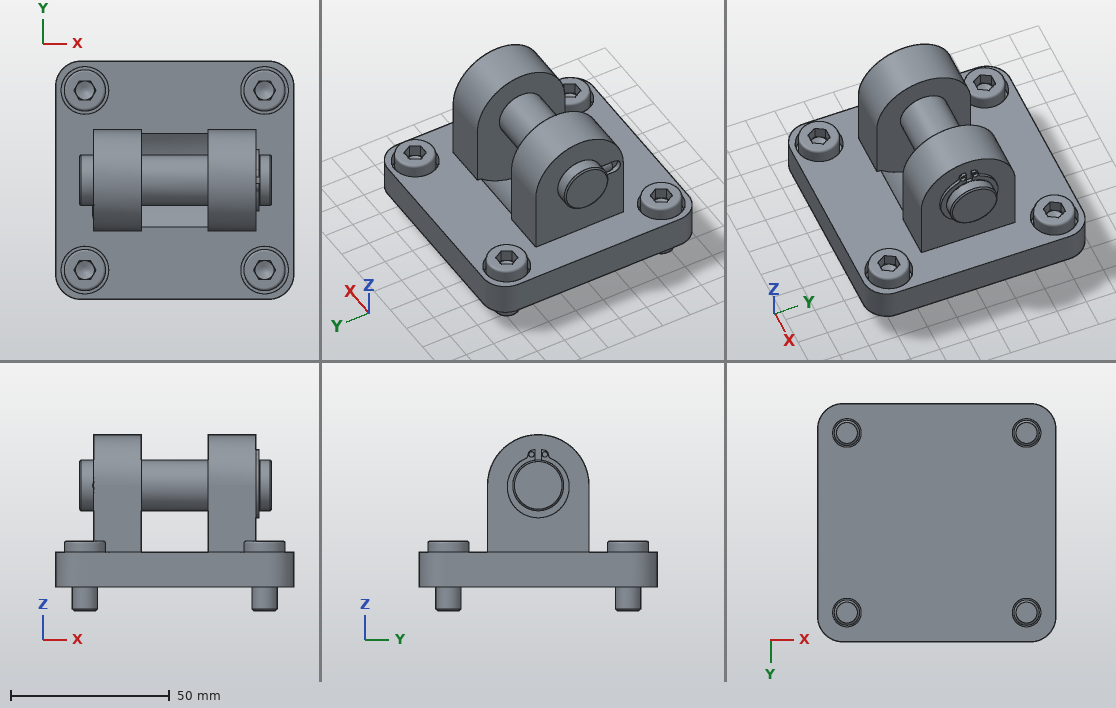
import cadquery as cq
import math

axis_z = 39.5

plate_size = 75.0
plate_bottom_z = 7.5
plate_thickness = 11.0
plate_top_z = plate_bottom_z + plate_thickness
plate_corner_radius = 8.0

lug_gap = 21.0
lug_thickness = 15.0
lug_radius = 16.0
lug_inner_x = lug_gap / 2
lug_outer_x = lug_inner_x + lug_thickness

relief_radius = 45.0 / 2
relief_half_width = 14.7
relief_axis_z = plate_top_z + math.sqrt(relief_radius**2 - relief_half_width**2)

pin_radius = 8.0
pin_left_x = -30.0
pin_right_x = 30.5
pin_chamfer = 0.5

groove_radius = 15.2 / 2
groove_width = 1.3
ring_thickness = 1.0
ring_radius = 9.75
ring_drop = 0.45
ring_ear_height = 3.7
ring_ear_tip = groove_radius + ring_ear_height
ring_ear_half_width = 3.2
ring_ear_fillet = 1.4
ring_ear_corner = 1.6
ring_gap = 2.0
ring_hole_diameter = 1.7
ring_hole_y = (ring_gap / 2 + ring_ear_half_width) / 2
ring_hole_inset = 1.55
ring_hole_z = ring_ear_tip - ring_hole_inset

dowel_radius = 2.0
dowel_protrusion = 0.3
dowel_axis_x = -lug_outer_x - dowel_protrusion + dowel_radius
dowel_end_y = -12.05
dowel_lead_length = 0.8
dowel_lead_drop = 0.2
slot_width = 4.5
slot_end_y = -14.9
slot_floor_x = dowel_axis_x

screw_spacing = 56.5
shank_radius = 4.0
shank_chamfer = 0.7
head_radius = 6.5
head_height = 8.0
head_fillet = 0.8
head_exposed_height = 3.5
head_top_z = plate_top_z + head_exposed_height
head_bottom_z = head_top_z - head_height
socket_across_flats = 6.0
socket_depth = 4.0
socket_cone_height = 1.2
hole_diameter = 9.0
counterbore_diameter = 15.0


def x_cylinder(radius, start_x, end_x, axis_height):
    """Cylinder along X, centred on Y = 0."""
    return cq.Workplane("YZ", origin=(start_x, 0, axis_height)).circle(radius).extrude(end_x - start_x)


def z_cylinder(radius, center, start_z, end_z):
    """Cylinder along Z at the given (x, y) center."""
    return cq.Workplane("XY", origin=(*center, start_z)).circle(radius).extrude(end_z - start_z)


def screw_centers():
    offset = screw_spacing / 2
    return [(x, y) for x in (-offset, offset) for y in (-offset, offset)]


def make_lug(start_x):
    return (
        cq.Workplane("YZ", origin=(start_x, 0, 0))
        .moveTo(-lug_radius, plate_bottom_z)
        .lineTo(-lug_radius, axis_z)
        .threePointArc((0, axis_z + lug_radius), (lug_radius, axis_z))
        .lineTo(lug_radius, plate_bottom_z)
        .close()
        .extrude(lug_thickness)
    )


def make_bracket():
    plate = (
        cq.Workplane("XY", origin=(0, 0, plate_bottom_z))
        .rect(plate_size, plate_size)
        .extrude(plate_thickness)
        .edges("|Z")
        .fillet(plate_corner_radius)
    )
    bracket = plate.union(make_lug(lug_inner_x)).union(make_lug(-lug_outer_x))
    bracket = bracket.cut(x_cylinder(relief_radius, -lug_inner_x, lug_inner_x, relief_axis_z))
    for center in screw_centers():
        hole = z_cylinder(hole_diameter / 2, center, plate_bottom_z, plate_top_z)
        counterbore = z_cylinder(counterbore_diameter / 2, center, head_bottom_z, plate_top_z)
        bracket = bracket.cut(hole).cut(counterbore)
    return bracket.cut(make_dowel_slot())


def make_dowel_slot():
    """Slot across the outer face of the left lug with a rounded outer end."""
    end_radius = slot_width / 2
    end_center_y = slot_end_y + end_radius
    return (
        cq.Workplane("YZ", origin=(-lug_outer_x, 0, axis_z))
        .moveTo(0, end_radius)
        .lineTo(end_center_y, end_radius)
        .threePointArc((slot_end_y, 0), (end_center_y, -end_radius))
        .lineTo(0, -end_radius)
        .close()
        .extrude(slot_floor_x + lug_outer_x)
    )


def make_pin():
    pin = x_cylinder(pin_radius, pin_left_x, pin_right_x, axis_z).faces("<X or >X").chamfer(pin_chamfer)
    groove_end_x = lug_outer_x + groove_width
    groove = x_cylinder(pin_radius, lug_outer_x, groove_end_x, axis_z)
    groove_core = x_cylinder(groove_radius, lug_outer_x, groove_end_x, axis_z)
    return pin.cut(groove.cut(groove_core))


def make_dowel():
    """Dowel along Y from the pin axis, with a slender lead-in at its free end."""
    dowel_length = -dowel_end_y
    return (
        cq.Workplane("XZ", origin=(dowel_axis_x, 0, axis_z))
        .circle(dowel_radius)
        .extrude(dowel_length)
        .faces("<Y")
        .chamfer(dowel_lead_length, dowel_lead_drop)
    )


def make_retaining_ring():
    """Open ring, thicker at the bottom, with two drilled ears at the top."""
    end_x = lug_outer_x + ring_thickness
    body = x_cylinder(ring_radius, lug_outer_x, end_x, axis_z - ring_drop)
    ears = (
        cq.Workplane("YZ", origin=(lug_outer_x, 0, axis_z))
        .rect(2 * ring_ear_half_width, 2 * ring_ear_tip)
        .extrude(ring_thickness)
        .intersect(x_cylinder(ring_ear_tip, lug_outer_x, end_x, axis_z))
    )
    upper_half = cq.Workplane("XY", origin=(lug_outer_x, 0, axis_z)).box(
        ring_thickness, 2 * ring_ear_tip, ring_ear_tip, centered=(False, True, False)
    )
    ears = ears.intersect(upper_half).edges("|X and (>Y or <Y)").edges(">Z").fillet(ring_ear_corner)
    ring = body.union(ears)
    root_height = math.sqrt(ring_radius**2 - ring_ear_half_width**2) - ring_drop
    for side in (-1, 1):
        root = (lug_outer_x + ring_thickness / 2, side * ring_ear_half_width, axis_z + root_height)
        ring = ring.edges(cq.NearestToPointSelector(root)).fillet(ring_ear_fillet)
    gap = cq.Workplane("XY", origin=(lug_outer_x, 0, axis_z)).box(
        ring_thickness, ring_gap, ring_ear_tip, centered=(False, True, False)
    )
    holes = (
        cq.Workplane("YZ", origin=(lug_outer_x, 0, axis_z))
        .pushPoints([(-ring_hole_y, ring_hole_z), (ring_hole_y, ring_hole_z)])
        .circle(ring_hole_diameter / 2)
        .extrude(ring_thickness)
    )
    bore = x_cylinder(groove_radius, lug_outer_x, end_x, axis_z)
    return ring.cut(gap).cut(holes).cut(bore)


def make_screw(center):
    shank = z_cylinder(shank_radius, center, 0, head_bottom_z).faces("<Z").chamfer(shank_chamfer)
    head = z_cylinder(head_radius, center, head_bottom_z, head_top_z).faces(">Z").edges().fillet(head_fillet)
    across_corners = socket_across_flats / math.cos(math.pi / 6)
    socket_floor_z = head_top_z - socket_depth
    socket = (
        cq.Workplane("XY", origin=(*center, socket_floor_z))
        .polygon(6, across_corners)
        .extrude(socket_depth)
    )
    drill_point = cq.Workplane(
        cq.Solid.makeCone(
            socket_across_flats / 2,
            0,
            socket_cone_height,
            pnt=cq.Vector(*center, socket_floor_z),
            dir=cq.Vector(0, 0, -1),
        )
    )
    return shank.union(head).cut(socket).cut(drill_point)


result = make_bracket().union(make_pin()).union(make_dowel()).union(make_retaining_ring())
for screw_center in screw_centers():
    result = result.union(make_screw(screw_center))